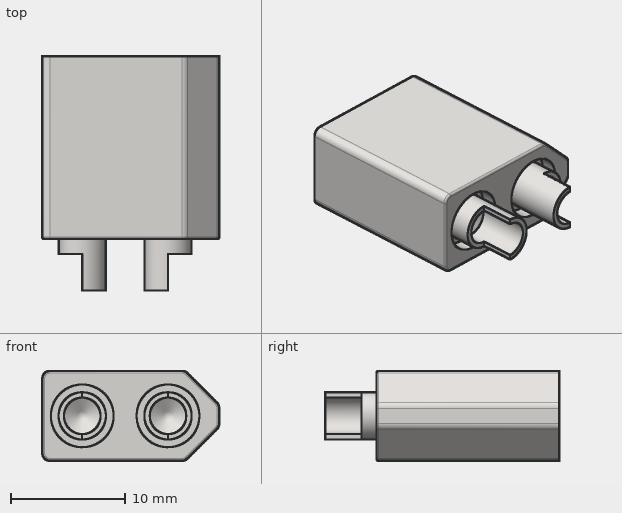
import cadquery as cq
import math

WIDTH = 15.5
HEIGHT = 7.9
TOTAL_LENGTH = 20.5
TAIL_LENGTH = 4.49
HOUSING_LENGTH = TOTAL_LENGTH - TAIL_LENGTH
NOSE_CHAMFER = 3.0
CORNER_RADIUS = 0.7
FRONT_EDGE_RADIUS = 0.2

FIRST_CONTACT_X = 3.5
CONTACT_SPACING = 7.5
CONTACT_DIAMETER = 4.15
RECESS_DIAMETER = 5.5
RECESS_DEPTH = 1.5

BORE_DIAMETER = 3.2
BORE_DEPTH = 4.82
DRILL_POINT_ANGLE = 118.0
DRILL_POINT_DEPTH = BORE_DIAMETER / 2 / math.tan(math.radians(DRILL_POINT_ANGLE / 2))
CUTAWAY_LENGTH = 3.18

END_WALL = (CONTACT_DIAMETER - BORE_DIAMETER) / 2
SEAT_END_Y = BORE_DEPTH + DRILL_POINT_DEPTH - TAIL_LENGTH + END_WALL

CONTACTS = [
    (FIRST_CONTACT_X, -1),
    (FIRST_CONTACT_X + CONTACT_SPACING, 1),
]


def cylinder_along_y(diameter, center_x, start_y, end_y):
    """Solid cylinder with its axis along Y at height Z = 0."""
    return (
        cq.Workplane("XZ", origin=(center_x, end_y, 0))
        .circle(diameter / 2)
        .extrude(end_y - start_y)
    )


def make_housing():
    half_height = HEIGHT / 2
    block = (
        cq.Workplane("XZ", origin=(0, HOUSING_LENGTH, 0))
        .moveTo(0, -half_height)
        .lineTo(WIDTH - NOSE_CHAMFER, -half_height)
        .lineTo(WIDTH, -half_height + NOSE_CHAMFER)
        .lineTo(WIDTH, half_height - NOSE_CHAMFER)
        .lineTo(WIDTH - NOSE_CHAMFER, half_height)
        .lineTo(0, half_height)
        .close()
        .extrude(HOUSING_LENGTH)
    )
    block = block.edges("|Y").fillet(CORNER_RADIUS)
    block = block.faces("<Y").edges().fillet(FRONT_EDGE_RADIUS)

    for center_x, _ in CONTACTS:
        recess = cylinder_along_y(RECESS_DIAMETER, center_x, 0, RECESS_DEPTH)
        seat = cylinder_along_y(CONTACT_DIAMETER, center_x, 0, SEAT_END_Y)
        block = block.cut(recess).cut(seat)
    return block


def make_bore(center_x):
    """Blind bore with a conical bottom, opening at the tail end."""
    radius = BORE_DIAMETER / 2
    tip = BORE_DEPTH + DRILL_POINT_DEPTH
    return (
        cq.Workplane("XY", origin=(center_x, -TAIL_LENGTH, 0))
        .polyline([(0, 0), (radius, 0), (radius, BORE_DEPTH), (0, tip)])
        .close()
        .revolve(360, (0, 0), (0, 1))
    )


def make_contact(center_x, open_side):
    contact = cylinder_along_y(CONTACT_DIAMETER, center_x, -TAIL_LENGTH, SEAT_END_Y)
    contact = contact.cut(make_bore(center_x))

    cutaway_center = (
        center_x + open_side * CONTACT_DIAMETER / 2,
        -TAIL_LENGTH + CUTAWAY_LENGTH / 2,
        0,
    )
    cutaway = cq.Workplane("XY", origin=cutaway_center).box(
        CONTACT_DIAMETER, CUTAWAY_LENGTH, CONTACT_DIAMETER
    )
    return contact.cut(cutaway)


housing = make_housing()
contacts = [make_contact(center_x, open_side) for center_x, open_side in CONTACTS]

result = cq.Compound.makeCompound([housing.val(), *[contact.val() for contact in contacts]])